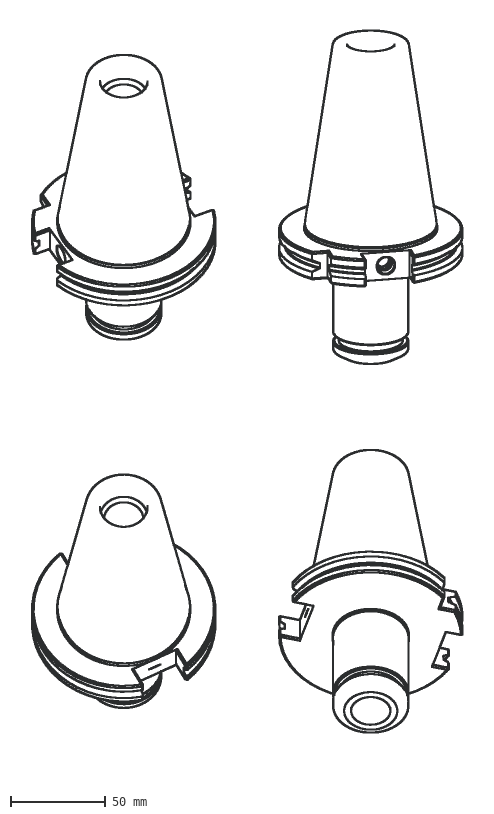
import cadquery as cq
import math

total_height = 176.6
flange_top = 71.7
flange_thickness = 15.5
flange_bottom = flange_top - flange_thickness
flange_mid = flange_top - flange_thickness / 2

taper_slope = 7 / 24 / 2
gauge_diameter = 70.0
gauge_radius = gauge_diameter / 2
gauge_height = 74.9
taper_base_above_flange = 2.1
taper_base = flange_top + taper_base_above_flange
taper_base_radius = gauge_radius + taper_slope * (gauge_height - taper_base)
taper_top_radius = gauge_radius - taper_slope * (total_height - gauge_height)
taper_top_fillet = 2.0

relief_above_flange = 1.0
relief_height = flange_top + relief_above_flange
relief_depth = 0.5
relief_foot_flare = 0.4
relief_foot_radius = taper_base_radius + relief_foot_flare

shank_radius = 40.0 / 2
collar_height = 0.9
collar_flare = 0.4
collar_radius = shank_radius + collar_flare
collar_chamfer = 0.5
shank_groove_radius = 34.0 / 2
shank_groove_bottom = 8.3
shank_groove_top = 12.5
shank_groove_lip = 0.7
shank_end_radius = 14.1
shank_end_angle = 30.0
shank_end_height = (shank_radius - shank_end_radius) * math.tan(math.radians(shank_end_angle))
shank_end_fillet = 1.2

bore_radius = 20.8 / 2
counterbore_radius = 25.0 / 2
counterbore_depth = 11.3
counterbore_floor_drop = 2.1
bore_mouth_fillet = 1.2

flange_radius = 97.5 / 2
flange_chamfer = 0.9
grip_floor_radius = 45.5
grip_floor_width = 2.8
grip_floor_fillet = 0.5
grip_side_angle = 60.0

slot_width = 25.5
front_slot_floor = 37.6
back_slot_floor = 35.3
notch_corner = 30.0

screw_hole_height = 64.0
screw_hole_diameter = 7.0
screw_mouth_diameter = 10.0
screw_recess_diameter = 9.4
screw_recess_depth = 5.3
screw_hole_depth = 8.8
drill_tip_angle = 118.0

tolerance = 0.02


def revolved(points):
    """Solid of revolution about Z from (radius, height) points."""
    return cq.Workplane("XZ").polyline(points).close().revolve(360, (0, 0), (0, 1))


def taper():
    cone = revolved([
        (0, flange_mid),
        (relief_foot_radius, flange_mid),
        (relief_foot_radius, flange_top),
        (taper_base_radius - relief_depth, relief_height),
        (taper_base_radius, taper_base),
        (taper_top_radius, total_height),
        (0, total_height),
    ])
    return cone.faces(">Z").edges().fillet(taper_top_fillet)


def shank():
    body = revolved([
        (0, 0),
        (shank_end_radius, 0),
        (shank_radius, shank_end_height),
        (shank_radius, shank_groove_bottom - shank_groove_lip),
        (shank_radius - shank_groove_lip, shank_groove_bottom),
        (shank_groove_radius, shank_groove_bottom),
        (shank_groove_radius, shank_groove_top),
        (shank_radius - shank_groove_lip, shank_groove_top),
        (shank_radius, shank_groove_top + shank_groove_lip),
        (shank_radius, flange_bottom - collar_height - collar_chamfer),
        (collar_radius, flange_bottom - collar_height),
        (collar_radius, flange_mid),
        (0, flange_mid),
    ])
    end_corner = cq.selectors.NearestToPointSelector((0, 0, shank_end_height))
    return body.edges(end_corner).fillet(shank_end_fillet)


def flange_cutout(x_min, x_max, y_min, y_max):
    """Box through the full flange thickness."""
    return (
        cq.Workplane("XY", origin=(0, 0, flange_bottom))
        .moveTo((x_min + x_max) / 2, (y_min + y_max) / 2)
        .rect(x_max - x_min, y_max - y_min)
        .extrude(flange_thickness)
    )


def is_chamfered(edge):
    """True for slot mouth corners and top and bottom flange edges, but not along the slot floors."""
    middle = edge.positionAt(0.5)
    centred = abs(middle.x) < tolerance
    on_rim = abs(math.hypot(middle.x, middle.y) - flange_radius) < tolerance
    at_slot_wall = abs(abs(middle.x) - slot_width / 2) < tolerance
    upright = abs(middle.z - flange_mid) < tolerance
    if upright:
        return on_rim and at_slot_wall
    return not centred


def grip_groove():
    floor_half = grip_floor_width / 2
    spread = (flange_radius - grip_floor_radius) / math.tan(math.radians(grip_side_angle))
    mouth_half = floor_half + spread
    cutter = revolved([
        (grip_floor_radius, flange_mid - floor_half),
        (flange_radius, flange_mid - mouth_half),
        (flange_radius, flange_mid + mouth_half),
        (grip_floor_radius, flange_mid + floor_half),
    ])
    floor_edges = cutter.edges(cq.selectors.RadiusNthSelector(0))
    return floor_edges.fillet(grip_floor_fillet)


def flange():
    disc = (
        cq.Workplane("XY", origin=(0, 0, flange_bottom))
        .circle(flange_radius)
        .extrude(flange_thickness)
    )
    half_slot = slot_width / 2
    disc = disc.cut(flange_cutout(-half_slot, half_slot, -flange_radius, -front_slot_floor))
    disc = disc.cut(flange_cutout(-half_slot, half_slot, back_slot_floor, flange_radius))
    disc = disc.cut(flange_cutout(-flange_radius, -notch_corner, -flange_radius, -notch_corner))
    edges = [edge for edge in disc.edges().vals() if is_chamfered(edge)]
    disc = disc.newObject(edges).chamfer(flange_chamfer)
    return disc.cut(grip_groove())


def axial_bore():
    counterbore_floor = total_height - counterbore_depth
    mouth = total_height - bore_mouth_fillet
    profile = (
        cq.Workplane("XZ")
        .lineTo(bore_radius, 0)
        .lineTo(bore_radius, counterbore_floor - counterbore_floor_drop)
        .lineTo(counterbore_radius, counterbore_floor)
        .lineTo(counterbore_radius, mouth)
        .radiusArc((counterbore_radius + bore_mouth_fillet, total_height), bore_mouth_fillet)
        .lineTo(0, total_height)
        .close()
    )
    return profile.revolve(360, (0, 0), (0, 1))


def screw_hole():
    """Recessed blind hole with a drill tip, running inward from the front slot floor."""
    hole_radius = screw_hole_diameter / 2
    mouth_radius = screw_mouth_diameter / 2
    recess_radius = screw_recess_diameter / 2
    tip_length = hole_radius / math.tan(math.radians(drill_tip_angle / 2))
    cutter = (
        cq.Workplane("XY")
        .polyline([
            (0, 0),
            (mouth_radius, 0),
            (recess_radius, mouth_radius - recess_radius),
            (recess_radius, screw_recess_depth),
            (hole_radius, screw_recess_depth),
            (hole_radius, screw_hole_depth),
            (0, screw_hole_depth + tip_length),
        ])
        .close()
        .revolve(360, (0, 0), (0, 1))
    )
    return cutter.translate((0, -front_slot_floor, screw_hole_height))


result = (
    flange()
    .union(taper())
    .union(shank())
    .cut(axial_bore())
    .cut(screw_hole())
)